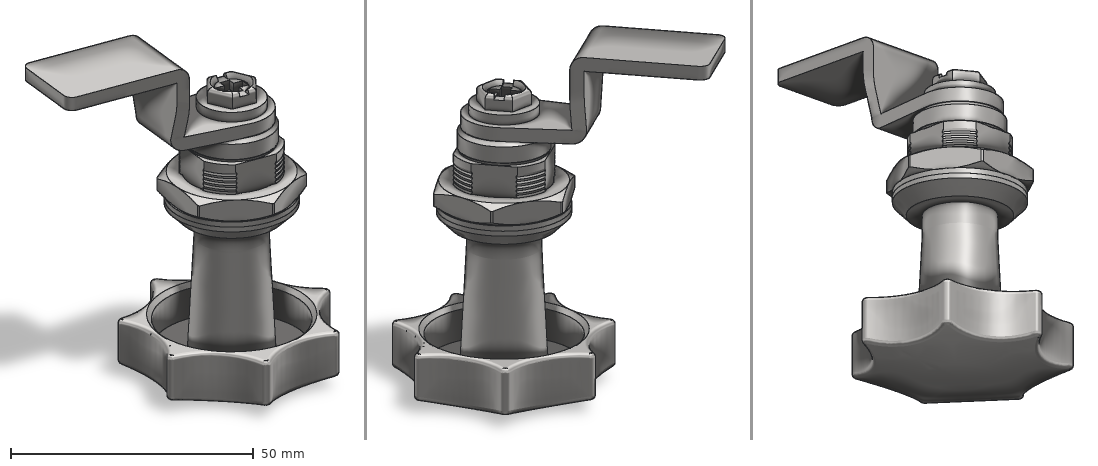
import cadquery as cq
import math


knob_rim_z = 13.2
stem_taper_end_z = 31.4
flange_bottom_z = 36.1
flange_cone_z = 39.0
flange_top_z = 40.1
nut_bottom_z = 41.2
nut_top_z = 46.1
thread_top_z = 52.9
collar_bottom_z = 53.4
cam_bottom_z = 57.95
cam_top_z = 78.1

point_count = 7
sharp_point_radius = 25.15
point_end_radius = 23.5
point_rounding = 1.0
valley_radius = 18.3
knob_edge_fillet = 0.9
dome_edge_fillet = 1.0
dome_radius = 89.8
recess_radius = 16.55
recess_chamfer = 1.0
recess_floor_z = 5.3
stem_radius = 7.8
stem_rim_radius = 8.75

flange_radius = 14.0
flange_cone_bottom_radius = 11.1
neck_radius = 10.3
thread_radius = 10.85
thread_pitch = 1.0
thread_depth = 0.15
thread_groove_count = 5
flat_distance = 9.7
collar_radius = 9.7
collar_chamfer = 0.9
undercut_radius = 9.45
nut_across_flats = 27.0
nut_corner_radius = 15.5
nut_turn = 2.6
nut_chamfer_angle = 30.0

sheet = 3.05
cam_width = 18.75
cam_end_radius = 9.0
cam_taper_angle = 6.5
upright_inner_y = -15.85
cam_tip_y = -45.0
cam_corner_radius = 2.0
upright_slope_angle = 17.5
upright_blend_radius = 10.9

washer_radius = 7.35
washer_thickness = 2.2
hex_across_flats = 10.1
hex_height = 3.4
hex_edge_fillet = 1.1
dish_top_radius = 4.5
dish_floor_radius = 3.6
dish_depth = 1.1
slot_width = 2.2
cross_length_x = 5.55
cross_length_y = 6.55
cross_depth = 3.0
shank_radius = 3.0
shank_length = 12.5


def cylinder(radius, bottom_z, top_z):
    return cq.Workplane("XY").workplane(offset=bottom_z).circle(radius).extrude(top_z - bottom_z)


def revolved(profile):
    """Solid of revolution about Z from (radius, z) points."""
    return cq.Workplane("XZ").polyline(profile).close().revolve(360, (0, 0, 0), (0, 1, 0))


def polar(radius, degrees):
    angle = math.radians(degrees)
    return (radius * math.cos(angle), radius * math.sin(angle))


washer_bottom_z = cam_bottom_z + sheet
shank = cylinder(shank_radius, washer_bottom_z - shank_length, washer_bottom_z)


def make_knob():
    step = 360 / point_count
    star = cq.Workplane("XY").moveTo(*polar(sharp_point_radius, 90))
    for i in range(point_count):
        start = 90 + i * step
        valley = polar(valley_radius, start + step / 2)
        star = star.threePointArc(valley, polar(sharp_point_radius, start + step))
    body = star.close().extrude(knob_rim_z)
    body = body.intersect(cylinder(point_end_radius, 0, knob_rim_z))
    body = body.edges("|Z").fillet(point_rounding)

    dome = cq.Workplane("XY").sphere(dome_radius).translate((0, 0, dome_radius))
    body = body.intersect(dome)
    body = body.faces(">Z").edges().fillet(knob_edge_fillet)
    body = body.faces("<Z").edges().fillet(dome_edge_fillet)

    recess = revolved(
        [
            (0, recess_floor_z),
            (recess_radius, recess_floor_z),
            (recess_radius, knob_rim_z - recess_chamfer),
            (recess_radius + recess_chamfer, knob_rim_z),
            (0, knob_rim_z),
        ]
    )

    taper = (stem_rim_radius - stem_radius) / (stem_taper_end_z - knob_rim_z)
    stem_foot_radius = stem_radius + taper * (stem_taper_end_z - recess_floor_z)
    stem = revolved(
        [
            (0, recess_floor_z),
            (stem_foot_radius, recess_floor_z),
            (stem_radius, stem_taper_end_z),
            (stem_radius, cam_bottom_z),
            (0, cam_bottom_z),
        ]
    )
    return body.cut(recess).union(stem).cut(shank)


def make_housing():
    flange = revolved(
        [
            (0, flange_bottom_z),
            (flange_cone_bottom_radius, flange_bottom_z),
            (flange_radius, flange_cone_z),
            (flange_radius, flange_top_z),
            (0, flange_top_z),
        ]
    )

    neck = cylinder(neck_radius, flange_top_z, nut_top_z)
    thread = cylinder(thread_radius, nut_top_z, thread_top_z)
    for i in range(thread_groove_count):
        groove_z = nut_top_z + (i + 0.5) * thread_pitch
        groove = revolved(
            [
                (thread_radius, groove_z - thread_pitch / 2),
                (thread_radius - thread_depth, groove_z),
                (thread_radius, groove_z + thread_pitch / 2),
            ]
        )
        thread = thread.cut(groove)
    flats = cq.Workplane("XY").workplane(offset=flange_top_z)
    flats = flats.rect(2 * flat_distance, 2 * flat_distance).extrude(thread_top_z - flange_top_z)
    barrel = neck.union(thread).intersect(flats)

    collar = cylinder(collar_radius, collar_bottom_z, cam_bottom_z).faces(">Z").chamfer(collar_chamfer)
    undercut = cylinder(undercut_radius, thread_top_z, collar_bottom_z)
    bore = cylinder(stem_radius, flange_bottom_z, cam_bottom_z)
    return flange.union(barrel).union(undercut).union(collar).cut(bore)


def make_gasket():
    ring = cylinder(flange_radius, flange_top_z, nut_bottom_z)
    return ring.cut(cylinder(neck_radius, flange_top_z, nut_bottom_z))


def make_nut():
    height = nut_top_z - nut_bottom_z
    corner_diameter = nut_across_flats / math.cos(math.pi / 6)
    prism = cq.Workplane("XY").workplane(offset=nut_bottom_z).polygon(6, corner_diameter).extrude(height)
    prism = prism.rotate((0, 0, 0), (0, 0, 1), nut_turn)
    flat_radius = nut_across_flats / 2
    drop = (nut_corner_radius - flat_radius) * math.tan(math.radians(nut_chamfer_angle))
    turned = revolved(
        [
            (0, nut_bottom_z),
            (flat_radius, nut_bottom_z),
            (nut_corner_radius, nut_bottom_z + drop),
            (nut_corner_radius, nut_top_z - drop),
            (flat_radius, nut_top_z),
            (0, nut_top_z),
        ]
    )
    return prism.intersect(turned).cut(cylinder(neck_radius, nut_bottom_z, nut_top_z))


def make_cam():
    upright_outer_y = upright_inner_y - sheet
    base_top_z = cam_bottom_z + sheet
    taper = math.tan(math.radians(cam_taper_angle))
    tangent_x, tangent_y = polar(cam_end_radius, -cam_taper_angle)

    def tapered_half_width(y):
        return tangent_x + taper * (y - tangent_y)

    outer_half_width = tapered_half_width(upright_outer_y)
    base = (
        cq.Workplane("XY")
        .workplane(offset=cam_bottom_z)
        .moveTo(outer_half_width, upright_outer_y)
        .lineTo(tangent_x, tangent_y)
        .threePointArc((0, cam_end_radius), (-tangent_x, tangent_y))
        .lineTo(-outer_half_width, upright_outer_y)
        .close()
        .extrude(sheet)
    )

    def kink_z(y):
        growth = cam_width / 2 - tapered_half_width(y)
        return base_top_z + growth / math.tan(math.radians(upright_slope_angle))

    def upright_outline(y):
        foot = tapered_half_width(y)
        half = [(foot, base_top_z), (cam_width / 2, kink_z(y)), (cam_width / 2, cam_top_z)]
        points = half + [(-x, z) for x, z in reversed(half)]
        return cq.Wire.makePolygon([cq.Vector(x, y, z) for x, z in points], close=True)

    upright = cq.Workplane(
        cq.Solid.makeLoft([upright_outline(upright_inner_y), upright_outline(upright_outer_y)], True)
    )
    kinks = cq.selectors.BoxSelector(
        (-cam_width, upright_outer_y, kink_z(upright_inner_y)),
        (cam_width, upright_inner_y, kink_z(upright_outer_y)),
    )
    upright = upright.edges(kinks).fillet(upright_blend_radius)

    tongue = cq.Workplane("XY").box(
        cam_width, upright_outer_y - cam_tip_y, sheet, centered=(True, False, False)
    )
    tongue = tongue.translate((0, cam_tip_y, cam_top_z - sheet))
    tongue = tongue.faces("<Y").edges("|Z").fillet(cam_corner_radius)

    bent_sheet = (
        cq.Workplane("YZ")
        .workplane(offset=-cam_width)
        .moveTo(cam_end_radius, cam_bottom_z)
        .lineTo(upright_inner_y, cam_bottom_z)
        .radiusArc((upright_outer_y, base_top_z), sheet)
        .lineTo(upright_outer_y, cam_top_z - sheet)
        .lineTo(cam_tip_y, cam_top_z - sheet)
        .lineTo(cam_tip_y, cam_top_z)
        .lineTo(upright_outer_y, cam_top_z)
        .radiusArc((upright_inner_y, cam_top_z - sheet), sheet)
        .lineTo(upright_inner_y, base_top_z)
        .lineTo(cam_end_radius, base_top_z)
        .close()
        .extrude(2 * cam_width)
    )
    return base.union(upright).union(tongue).intersect(bent_sheet).cut(shank)


def make_bolt():
    hex_bottom_z = washer_bottom_z + washer_thickness
    hex_top_z = hex_bottom_z + hex_height
    washer = cylinder(washer_radius, washer_bottom_z, hex_bottom_z)
    corner_diameter = hex_across_flats / math.cos(math.pi / 6)
    head = cq.Workplane("XY").workplane(offset=hex_bottom_z).polygon(6, corner_diameter).extrude(hex_height)
    head = head.rotate((0, 0, 0), (0, 0, 1), 30).faces(">Z").edges().fillet(hex_edge_fillet)

    floor_z = hex_top_z - dish_depth
    dish = revolved([(0, floor_z), (dish_floor_radius, floor_z), (dish_top_radius, hex_top_z), (0, hex_top_z)])
    floor = cq.Workplane("XY").workplane(offset=floor_z)
    slot = floor.rect(2 * hex_across_flats, slot_width).extrude(dish_depth)
    cross = floor.rect(cross_length_x, slot_width).extrude(-cross_depth)
    cross = cross.union(floor.rect(slot_width, cross_length_y).extrude(-cross_depth))
    return washer.union(head).union(shank).cut(dish).cut(slot).cut(cross)


knob = make_knob()
housing = make_housing()
gasket = make_gasket()
nut = make_nut()
cam = make_cam()
bolt = make_bolt()

result = cq.Compound.makeCompound(
    [knob.val(), housing.val(), gasket.val(), nut.val(), cam.val(), bolt.val()]
)